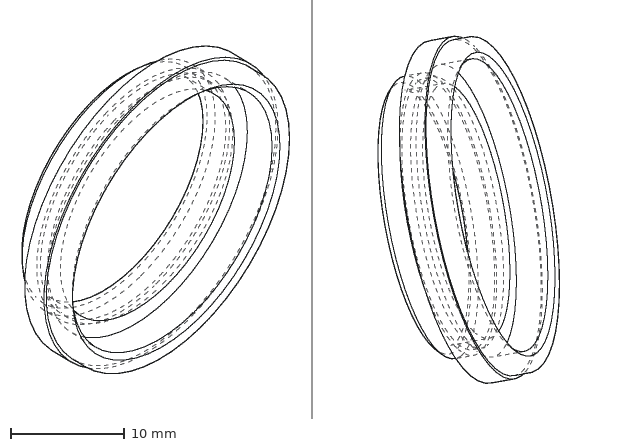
import cadquery as cq

total_length = 7.4
flange_start = 3.08
flange_end = 5.57
groove_start = 2.25
counterbore_start = 3.95

flange_diameter = 30.8
rear_diameter = 30.2
spigot_diameter = 25.4
groove_diameter = 24.4
bore_diameter = 22.9
counterbore_diameter = 26.3
counterbore_mouth_diameter = 27.3

edge_radius = 0.3
spigot_chamfer = (spigot_diameter - groove_diameter) / 2
mouth_chamfer = (counterbore_mouth_diameter - counterbore_diameter) / 2


def disc(diameter, start, end):
    """Solid cylinder along X between two positions."""
    return cq.Workplane("YZ", origin=(start, 0, 0)).circle(diameter / 2).extrude(end - start)


spigot = disc(spigot_diameter, 0, groove_start).faces("<X").chamfer(spigot_chamfer)
groove = disc(groove_diameter, groove_start, flange_start)
flange = disc(flange_diameter, flange_start, flange_end).faces("<X").edges().fillet(edge_radius)
rear = disc(rear_diameter, flange_end, total_length).faces(">X").edges().fillet(edge_radius)
body = spigot.union(groove).union(flange).union(rear)

body = body.cut(disc(bore_diameter, 0, total_length))
bore_entry = cq.selectors.RadiusNthSelector(0)
body = body.faces("<X").edges(bore_entry).fillet(edge_radius)

body = body.cut(disc(counterbore_diameter, counterbore_start, total_length))
counterbore_mouth = cq.selectors.RadiusNthSelector(0)
result = body.faces(">X").edges(counterbore_mouth).chamfer(mouth_chamfer)